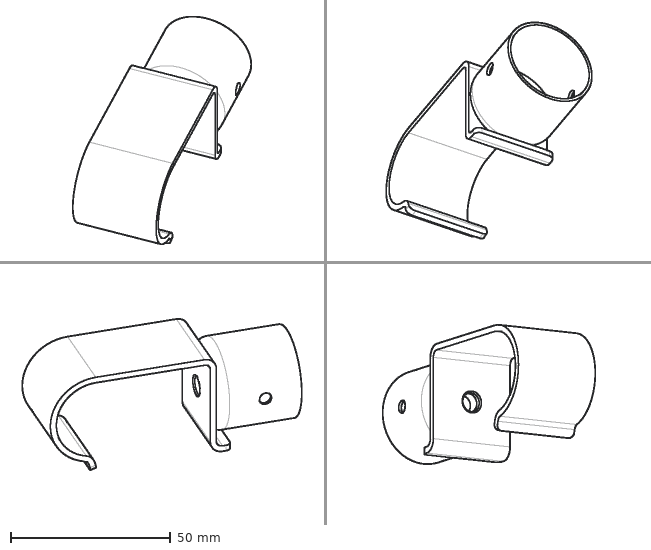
import cadquery as cq
import math


SLEEVE_DIAMETER = 30.0
SLEEVE_WALL = 1.0
SLEEVE_FLOOR = 4.0
SLEEVE_LENGTH = 28.0
SLEEVE_EDGE_RADIUS = 4.0
PIN_HOLE_DIAMETER = 4.0
PIN_HOLE_FROM_OPEN_END = 12.0

FASTENER_HOLE_DIAMETER = 6.0
FASTENER_HOLE_CHAMFER = 0.5

STRIP_THICKNESS = 2.0
STRIP_WIDTH = 28.0
BEND_INNER_RADIUS = 2.0
BRACKET_REACH = 83 - SLEEVE_LENGTH
FLANGE_END_Y = 5.1
HOOK_OUTER_RADIUS = 15.0
HOOK_SWEEP = 166
LIP_INNER_RADIUS = 2.0
LIP_SWEEP = 60
LIP_STRAIGHT = 3.0
CORNER_RADIUS = 2.0

SLEEVE_RADIUS = SLEEVE_DIAMETER / 2
BEND_OUTER_RADIUS = BEND_INNER_RADIUS + STRIP_THICKNESS
BRACKET_HALF_HEIGHT = SLEEVE_RADIUS + STRIP_THICKNESS
HOOK_END_ANGLE = 90 + HOOK_SWEEP
LIP_START_ANGLE = HOOK_END_ANGLE - 180
LIP_END_ANGLE = LIP_START_ANGLE - LIP_SWEEP


def polar(center, radius, degrees):
    """Point in the YZ plane at an angle measured from +Y toward +Z."""
    angle = math.radians(degrees)
    return center[0] + radius * math.cos(angle), center[1] + radius * math.sin(angle)


def arc(center, radius, middle_angle, end_angle):
    """Middle and end points of an arc in the YZ plane."""
    return polar(center, radius, middle_angle), polar(center, radius, end_angle)


def cylinder_along_y(diameter, start_y, length):
    return cq.Workplane("XZ", origin=(0, start_y, 0)).circle(diameter / 2).extrude(-length)


def fastener_hole():
    """Cutter through the bracket plate and the sleeve floor."""
    return cylinder_along_y(FASTENER_HOLE_DIAMETER, -STRIP_THICKNESS, STRIP_THICKNESS + SLEEVE_FLOOR)


def make_sleeve():
    outside = cylinder_along_y(SLEEVE_DIAMETER, 0, SLEEVE_LENGTH)
    outside = outside.faces("<Y").edges().fillet(SLEEVE_EDGE_RADIUS)
    bore_diameter = SLEEVE_DIAMETER - 2 * SLEEVE_WALL
    bore = cylinder_along_y(bore_diameter, SLEEVE_FLOOR, SLEEVE_LENGTH - SLEEVE_FLOOR)
    pin_hole = (
        cq.Workplane("YZ", origin=(0, SLEEVE_LENGTH - PIN_HOLE_FROM_OPEN_END, 0))
        .circle(PIN_HOLE_DIAMETER / 2)
        .extrude(SLEEVE_RADIUS, both=True)
    )
    return outside.cut(bore).cut(pin_hole).cut(fastener_hole())


def strip_profile():
    """Closed YZ outline: bottom flange, upright plate, top, hook and turned-out lip."""
    top = BRACKET_HALF_HEIGHT
    bottom = -BRACKET_HALF_HEIGHT
    hook_inner_radius = HOOK_OUTER_RADIUS - STRIP_THICKNESS
    lip_outer_radius = LIP_INNER_RADIUS + STRIP_THICKNESS

    flange_bend = (BEND_INNER_RADIUS, bottom + BEND_OUTER_RADIUS)
    top_bend = (-BEND_OUTER_RADIUS, top - BEND_OUTER_RADIUS)
    hook = (HOOK_OUTER_RADIUS - BRACKET_REACH, top - HOOK_OUTER_RADIUS)

    hook_middle = 90 + HOOK_SWEEP / 2
    lip = polar(hook, HOOK_OUTER_RADIUS + LIP_INNER_RADIUS, HOOK_END_ANGLE)
    lip_middle = LIP_START_ANGLE - LIP_SWEEP / 2
    tip_direction = LIP_END_ANGLE - 90
    tip_outer = polar(polar(lip, LIP_INNER_RADIUS, LIP_END_ANGLE), LIP_STRAIGHT, tip_direction)
    tip_inner = polar(polar(lip, lip_outer_radius, LIP_END_ANGLE), LIP_STRAIGHT, tip_direction)

    return (
        cq.Workplane("YZ", origin=(-STRIP_WIDTH / 2, 0, 0))
        .moveTo(FLANGE_END_Y, bottom + STRIP_THICKNESS)
        .lineTo(*polar(flange_bend, BEND_INNER_RADIUS, 270))
        .threePointArc(*arc(flange_bend, BEND_INNER_RADIUS, 225, 180))
        .lineTo(*polar(top_bend, BEND_OUTER_RADIUS, 0))
        .threePointArc(*arc(top_bend, BEND_OUTER_RADIUS, 45, 90))
        .lineTo(*polar(hook, HOOK_OUTER_RADIUS, 90))
        .threePointArc(*arc(hook, HOOK_OUTER_RADIUS, hook_middle, HOOK_END_ANGLE))
        .threePointArc(*arc(lip, LIP_INNER_RADIUS, lip_middle, LIP_END_ANGLE))
        .lineTo(*tip_outer)
        .lineTo(*tip_inner)
        .lineTo(*polar(lip, lip_outer_radius, LIP_END_ANGLE))
        .threePointArc(*arc(lip, lip_outer_radius, lip_middle, LIP_START_ANGLE))
        .threePointArc(*arc(hook, hook_inner_radius, hook_middle, 90))
        .lineTo(*polar(top_bend, BEND_INNER_RADIUS, 90))
        .threePointArc(*arc(top_bend, BEND_INNER_RADIUS, 45, 0))
        .lineTo(*polar(flange_bend, BEND_OUTER_RADIUS, 180))
        .threePointArc(*arc(flange_bend, BEND_OUTER_RADIUS, 225, 270))
        .lineTo(FLANGE_END_Y, bottom)
        .close()
    )


def make_bracket():
    strip = strip_profile().extrude(STRIP_WIDTH)
    strip = strip.faces(">Y").edges("|Z").fillet(CORNER_RADIUS)
    across_lip_tip = cq.Vector(0, *polar((0, 0), 1, LIP_END_ANGLE))
    strip = strip.edges(cq.selectors.ParallelDirSelector(across_lip_tip)).fillet(CORNER_RADIUS)
    strip = strip.cut(fastener_hole())
    rim = cq.selectors.NearestToPointSelector((0, -STRIP_THICKNESS, 0))
    return strip.edges("%CIRCLE").edges(rim).chamfer(FASTENER_HOLE_CHAMFER)


sleeve = make_sleeve()
bracket = make_bracket()
result = cq.Compound.makeCompound([sleeve.val(), bracket.val()])